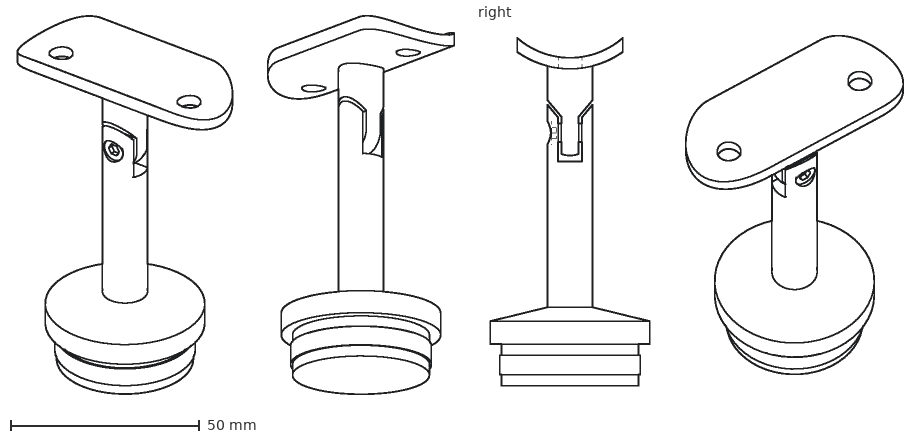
import cadquery as cq
import math

TOTAL_HEIGHT = 92.3
SADDLE_LENGTH = 64.0
SADDLE_WIDTH = 28.05
RAIL_RADIUS = 21.2
SADDLE_THICKNESS = 2.95
SCREW_HOLE_DIAMETER = 6.3
SCREW_HOLE_SPACING = 42.1

PLUG_STEPS = [(36.4, 2.95), (37.4, 8.1), (36.4, 11.1), (42.4, 17.2)]
CONE_TOP_Z = 20.9

POST_DIAMETER = 12
POST_RADIUS = POST_DIAMETER / 2
PIVOT_Z = 67.1
SLOT_WIDTH = 6.3
SLOT_FLOOR_Z = 59.5
FORK_KNEE_Z = 71.15
TONGUE_WIDTH = 4.6
TONGUE_KNEE_Z = 71.3
FLARE_ANGLE = 50
KNUCKLE_RADIUS = 6.1
PIN_DIAMETER = 5.0

SCREW_HEAD_DIAMETER = 6.2
SCREW_FACE_Y = -5.0
HEX_ACROSS_CORNERS = 3.4
HEX_DEPTH = 1.4

RAIL_AXIS_Z = TOTAL_HEIGHT + math.sqrt(RAIL_RADIUS**2 - (SADDLE_WIDTH / 2) ** 2)


def rail_cylinder(radius):
    """Cylinder along X, centred on the handrail axis."""
    return (
        cq.Workplane("YZ")
        .center(0, RAIL_AXIS_Z)
        .circle(radius)
        .extrude(SADDLE_LENGTH / 2, both=True)
    )


def saddle_plate():
    """Curved plate with rounded ends and two screw holes."""
    underside_radius = RAIL_RADIUS + SADDLE_THICKNESS
    shell = rail_cylinder(underside_radius).cut(rail_cylinder(RAIL_RADIUS))
    outline = (
        cq.Workplane("XY")
        .slot2D(SADDLE_LENGTH, SADDLE_WIDTH)
        .pushPoints([(-SCREW_HOLE_SPACING / 2, 0), (SCREW_HOLE_SPACING / 2, 0)])
        .circle(SCREW_HOLE_DIAMETER / 2)
        .extrude(TOTAL_HEIGHT)
    )
    return shell.intersect(outline)


def plug():
    """Stepped tube plug with a conical top."""
    points = [(0, 0)]
    bottom_z = 0
    for diameter, top_z in PLUG_STEPS:
        points += [(diameter / 2, bottom_z), (diameter / 2, top_z)]
        bottom_z = top_z
    points += [(POST_RADIUS, CONE_TOP_Z), (0, CONE_TOP_Z)]
    return cq.Workplane("XZ").polyline(points).close().revolve(360, (0, 0), (0, 1))


def post_cylinder(bottom_z, top_z):
    """Length of round post between two levels."""
    return cq.Workplane("XY").workplane(offset=bottom_z).circle(POST_RADIUS).extrude(top_z - bottom_z)


def funnel(width, floor_z, knee_z):
    """Channel along X with straight walls, flaring outward above the knee."""
    half = width / 2
    flare = (TOTAL_HEIGHT - knee_z) / math.tan(math.radians(FLARE_ANGLE))
    points = [
        (-half, floor_z),
        (half, floor_z),
        (half, knee_z),
        (half + flare, TOTAL_HEIGHT),
        (-half - flare, TOTAL_HEIGHT),
        (-half, knee_z),
    ]
    return cq.Workplane("YZ").polyline(points).close().extrude(POST_DIAMETER, both=True)


def fork():
    """Lower post, slotted at its top and closed by flared cheeks."""
    slot = funnel(SLOT_WIDTH, SLOT_FLOOR_Z, FORK_KNEE_Z)
    blank = post_cylinder(CONE_TOP_Z, TONGUE_KNEE_Z + POST_RADIUS)
    return blank.cut(slot)


def tongue():
    """Upper post, narrowed to a tongue with a ball-shaped lower end."""
    blank = post_cylinder(SLOT_FLOOR_Z, TOTAL_HEIGHT)
    blank = blank.intersect(funnel(TONGUE_WIDTH, SLOT_FLOOR_Z, TONGUE_KNEE_Z))
    ball = cq.Workplane("XY", origin=(0, 0, PIVOT_Z)).sphere(KNUCKLE_RADIUS)
    knuckle = ball.union(post_cylinder(PIVOT_Z, TOTAL_HEIGHT))
    burial = rail_cylinder(RAIL_RADIUS + SADDLE_THICKNESS / 2)
    return blank.intersect(knuckle).cut(burial)


def hinge_pin():
    """Pin bridging the gaps between tongue and fork."""
    return (
        cq.Workplane("XZ", origin=(0, 0, PIVOT_Z))
        .circle(PIN_DIAMETER / 2)
        .extrude(SLOT_WIDTH / 2, both=True)
    )


def screw_recess():
    """Material removed in front of the screw head, with its hex socket."""
    face = cq.Workplane("XZ", origin=(0, SCREW_FACE_Y, PIVOT_Z))
    counterbore = face.circle(SCREW_HEAD_DIAMETER / 2).extrude(POST_RADIUS)
    socket = face.polygon(6, HEX_ACROSS_CORNERS).extrude(-HEX_DEPTH)
    return counterbore.union(socket)


result = (
    plug()
    .union(fork())
    .union(tongue())
    .union(hinge_pin())
    .union(saddle_plate())
    .cut(screw_recess())
)